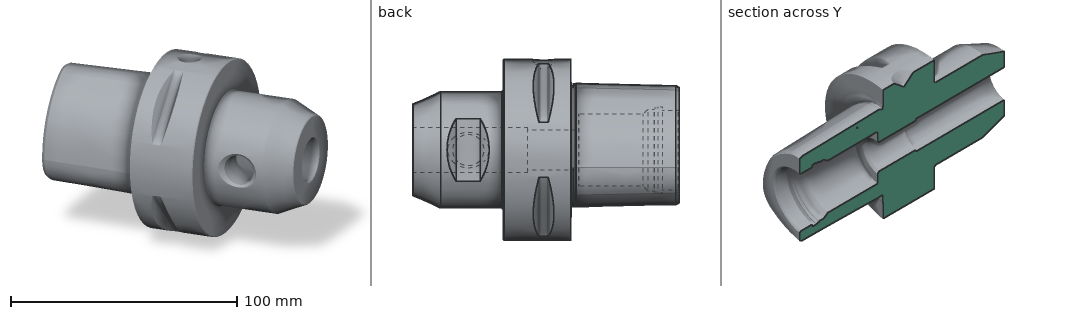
import cadquery as cq
import math

total_length = 118.0
taper_chamfer_end = 1.5
taper_end = 45.7
undercut_start = 46.0
collar_start = 47.8
flange_start = 48.0
flange_end = 77.9
shank_start = 78.6
nose_start = 105.6

flange_radius = 80.0 / 2
shank_radius = 51.5 / 2
shank_root_radius = 26.2
nose_end_radius = 20.3
edge_chamfer = 0.4
collar_inner_radius = 28.7
collar_outer_radius = 30.3

lobe_angles = (90, 210, 330)
arc_half_angle = 30
lobe_centre_distance = 15.2
taper_width = 54.8
face_width = 52.6
taper_chamfer = 1.0
undercut_step = 0.18
lobe_relief_radius = 28.4
lobe_relief_start = 46.8

entry_radius = 17.6
entry_chamfer = 0.7
clamp_groove_radius = 38.0 / 2
clamp_groove_start = 7.5
clamp_groove_end = 9.7
shoulder_radius = 18.5
shoulder_end = 11.1
seat_radius = 18.0
seat_start = 11.3
seat_end = 13.9
chamber_radius = 32.0 / 2
chamber_start = 16.3
chamber_floor_chamfer = 0.3
chamber_end = 44.8

passage_radius = 17.8 / 2
tool_bore_radius = 20.0 / 2
tool_bore_start = 67.3
tool_bore_mouth_radius = 20.5 / 2
passage_chamfer = tool_bore_radius - passage_radius
mouth_chamfer = tool_bore_mouth_radius - tool_bore_radius

screw_x = 93.5
screw_radius = 13.8 / 2
screw_mouth_radius = 9.1
notch_floor_distance = 21.7
notch_floor_width = 10.6

slot_angles = (45, 135, 225, 315)
slot_x = 60.1
slot_floor_distance = 35.5
slot_floor_width = 4.0
slot_side_angle = math.radians(30)
slot_floor_fillet = 0.6
dimple_radius = 11.1 / 2
dimple_tip_angle = math.radians(90)


def revolve_about_x(points):
    """Solid of revolution from (x, radius) points."""
    outline = cq.Workplane("XY").polyline(points).close()
    return outline.revolve(360, (0, 0, 0), (1, 0, 0))


def add_lobed_wire(plane, width):
    """Polygon of constant width with one lobe toward +Z, drawn on a YZ plane."""
    flank_to_lobe = lobe_centre_distance * math.sqrt(3)
    lobe_radius = (width - flank_to_lobe) / 2
    flank_radius = (width + flank_to_lobe) / 2

    def arc_point(centre_angle, radius, angle):
        centre_direction = math.radians(centre_angle)
        direction = math.radians(angle)
        return (
            lobe_centre_distance * math.cos(centre_direction) + radius * math.cos(direction),
            lobe_centre_distance * math.sin(centre_direction) + radius * math.sin(direction),
        )

    first_lobe = lobe_angles[0]
    wire = plane.moveTo(*arc_point(first_lobe, lobe_radius, first_lobe - arc_half_angle))
    for lobe in lobe_angles:
        wire = wire.threePointArc(
            arc_point(lobe, lobe_radius, lobe),
            arc_point(lobe, lobe_radius, lobe + arc_half_angle),
        )
        flank = lobe + 2 * arc_half_angle
        opposite_lobe = flank + 180
        wire = wire.threePointArc(
            arc_point(opposite_lobe, flank_radius, flank),
            arc_point(opposite_lobe, flank_radius, flank + arc_half_angle),
        )
    return wire.close()


def lobed_section(start, end, start_width, end_width):
    """Polygon body from X = start to X = end, tapering between two widths."""
    section = add_lobed_wire(cq.Workplane("YZ", origin=(start, 0, 0)), start_width)
    section = add_lobed_wire(section.workplane(offset=end - start), end_width)
    return section.loft(ruled=True, combine=True)


def polygon_taper():
    chamfer = lobed_section(0, taper_chamfer_end, face_width - 2 * taper_chamfer, face_width)
    cone = lobed_section(taper_chamfer_end, taper_end, face_width, taper_width)
    neck_width = taper_width - 2 * undercut_step
    step = lobed_section(taper_end, undercut_start, taper_width, neck_width)
    neck = lobed_section(undercut_start, flange_start, neck_width, neck_width)
    relief = revolve_about_x(
        [
            (lobe_relief_start, lobe_relief_radius),
            (flange_start, lobe_relief_radius),
            (flange_start, flange_radius),
            (lobe_relief_start, flange_radius),
        ]
    )
    return chamfer.union(cone).union(step).union(neck.cut(relief))


def turned_body():
    return revolve_about_x(
        [
            (collar_start, 0),
            (collar_start, collar_inner_radius),
            (flange_start, collar_outer_radius),
            (flange_start, flange_radius),
            (flange_end - edge_chamfer, flange_radius),
            (flange_end, flange_radius - edge_chamfer),
            (flange_end, shank_root_radius),
            (shank_start, shank_radius),
            (nose_start, shank_radius),
            (total_length - edge_chamfer, nose_end_radius),
            (total_length, nose_end_radius - edge_chamfer),
            (total_length, 0),
        ]
    )


def through_bore():
    return revolve_about_x(
        [
            (0, 0),
            (0, entry_radius + entry_chamfer),
            (entry_chamfer, entry_radius),
            (clamp_groove_start, entry_radius),
            (clamp_groove_start, clamp_groove_radius),
            (clamp_groove_end, clamp_groove_radius),
            (clamp_groove_end, shoulder_radius),
            (shoulder_end, shoulder_radius),
            (seat_start, seat_radius),
            (seat_end, seat_radius),
            (chamber_start, chamber_radius),
            (chamber_end - chamber_floor_chamfer, chamber_radius),
            (chamber_end, chamber_radius - chamber_floor_chamfer),
            (chamber_end, tool_bore_radius),
            (chamber_end + passage_chamfer, passage_radius),
            (tool_bore_start, passage_radius),
            (tool_bore_start, tool_bore_radius),
            (total_length - mouth_chamfer, tool_bore_radius),
            (total_length, tool_bore_mouth_radius),
            (total_length, 0),
        ]
    )


def screw_hole():
    """Radial hole from -Y into the tool bore, with a 90 degree countersink."""
    sink_bottom = shank_radius - (screw_mouth_radius - screw_radius)
    profile = (
        cq.Workplane("XY", origin=(screw_x, 0, 0))
        .polyline(
            [
                (0, 0),
                (screw_radius, 0),
                (screw_radius, -sink_bottom),
                (screw_mouth_radius, -shank_radius),
                (0, -shank_radius),
            ]
        )
        .close()
    )
    return profile.revolve(360, (0, 0, 0), (0, 1, 0))


def shank_notch():
    """Flat-bottomed notch with 45 degree sides running along Z on the +Y side."""
    depth = shank_radius - notch_floor_distance
    half_floor = notch_floor_width / 2
    half_mouth = half_floor + depth
    return (
        cq.Workplane("XY", origin=(screw_x, 0, 0))
        .polyline(
            [
                (-half_floor, notch_floor_distance),
                (half_floor, notch_floor_distance),
                (half_mouth, shank_radius),
                (-half_mouth, shank_radius),
            ]
        )
        .close()
        .extrude(shank_radius, both=True)
    )


def gripper_slot():
    """Straight tangential slot with sloping sides, on the +Y side of the flange."""
    depth = flange_radius - slot_floor_distance
    half_floor = slot_floor_width / 2
    half_mouth = half_floor + depth * math.tan(slot_side_angle)
    slot = (
        cq.Workplane("XY", origin=(slot_x, 0, 0))
        .polyline(
            [
                (-half_floor, slot_floor_distance),
                (half_floor, slot_floor_distance),
                (half_mouth, flange_radius),
                (-half_mouth, flange_radius),
            ]
        )
        .close()
        .extrude(flange_radius, both=True)
    )
    return slot.faces("<Y").edges("|Z").fillet(slot_floor_fillet)


def rim_dimple():
    """Conical dimple on the +Z side of the flange."""
    depth = dimple_radius / math.tan(dimple_tip_angle / 2)
    profile = (
        cq.Workplane("XZ", origin=(slot_x, 0, 0))
        .polyline(
            [
                (0, flange_radius - depth),
                (dimple_radius, flange_radius),
                (0, flange_radius),
            ]
        )
        .close()
    )
    return profile.revolve(360, (0, 0, 0), (0, 1, 0))


result = turned_body().union(polygon_taper())
result = result.cut(through_bore()).cut(screw_hole()).cut(shank_notch()).cut(rim_dimple())
for slot_angle in slot_angles:
    result = result.cut(gripper_slot().rotate((0, 0, 0), (1, 0, 0), slot_angle))